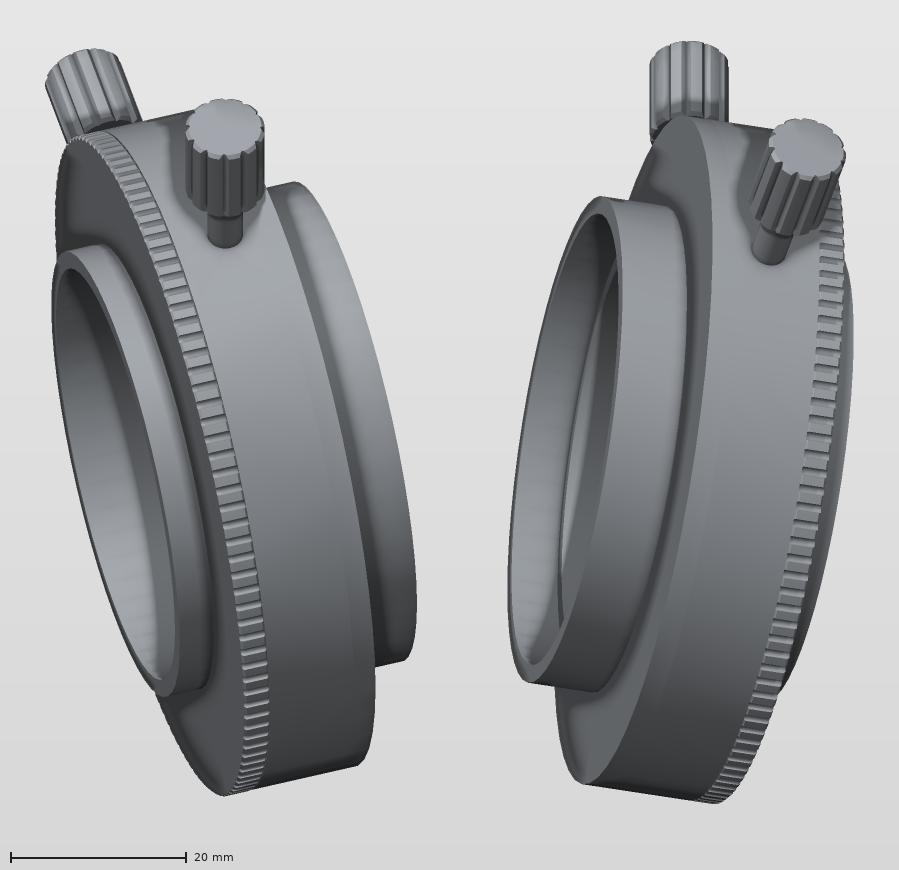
import cadquery as cq

body_diameter = 77.0
bore_diameter = 48.0
tube_diameter = 52.0
flange_diameter = 56.0
flange_recess_diameter = 52.0

spigot_length = 4.0
knurl_length = 3.0
hub_length = 2.0
housing_length = 10.0
cover_length = 2.5
flange_gap = 0.5
flange_length = 7.5
flange_recess_depth = 5.4

knurl_back = spigot_length + knurl_length
hub_back = knurl_back + hub_length
housing_back = knurl_back + housing_length
cover_back = housing_back + cover_length
flange_front = cover_back + flange_gap
flange_back = flange_front + flange_length
recess_front = flange_back - flange_recess_depth

knurl_groove_count = 120
knurl_groove_radius = 0.5
knurl_chamfer = 0.24

screw_reach = 57.8
screw_axis_depth = 13.0
stem_diameter = 4.0
head_diameter = 9.05
head_length = 11.0
head_chamfer = 0.4
head_groove_count = 12
head_groove_depth = 0.6
head_groove_phase = 12.2
screw_angles = [0, -90]


def disc(diameter, start, end):
    """Solid cylinder on the optical axis between two depths."""
    plane = cq.Workplane("XZ", origin=(0, start, 0))
    return plane.circle(diameter / 2).extrude(start - end)


def ring(outer_diameter, inner_diameter, start, end):
    """Flat ring on the optical axis between two depths."""
    return disc(outer_diameter, start, end).cut(disc(inner_diameter, start, end))


def make_thumbscrew():
    """Screw pointing up along Z: plain stem and a head with right-angled V grooves."""
    stem_bottom = tube_diameter / 2
    head_bottom = screw_reach - head_length
    head_radius = head_diameter / 2
    head = (
        cq.Workplane("XY", origin=(0, 0, head_bottom))
        .circle(head_radius)
        .extrude(head_length)
        .faces("<Z or >Z")
        .chamfer(head_chamfer)
    )
    groove = (
        cq.Workplane("XY", origin=(0, 0, head_bottom))
        .moveTo(head_radius - head_groove_depth, 0)
        .lineTo(head_radius + head_groove_depth, 2 * head_groove_depth)
        .lineTo(head_radius + head_groove_depth, -2 * head_groove_depth)
        .close()
        .extrude(head_length)
    )
    for index in range(head_groove_count):
        angle = head_groove_phase + index * 360 / head_groove_count
        head = head.cut(groove.rotate((0, 0, 0), (0, 0, 1), angle))
    stem = (
        cq.Workplane("XY", origin=(0, 0, stem_bottom))
        .circle(stem_diameter / 2)
        .extrude(head_bottom - stem_bottom)
    )
    return head.union(stem).translate((0, screw_axis_depth, 0))


def make_thumbscrews():
    """One thumbscrew for each angle around the optical axis."""
    screw = make_thumbscrew()
    return [screw.rotate((0, 0, 0), (0, 1, 0), angle) for angle in screw_angles]


def make_front_ring():
    """Spigot, knurled disc and a hub that enters the housing."""
    knurled_disc = disc(body_diameter, spigot_length, knurl_back).faces("<Y or >Y").chamfer(knurl_chamfer)
    grooves = (
        cq.Workplane("XZ", origin=(0, spigot_length, 0))
        .polarArray(body_diameter / 2, 0, 360, knurl_groove_count)
        .circle(knurl_groove_radius)
        .extrude(-knurl_length)
    )
    tube = disc(tube_diameter, 0, hub_back)
    return knurled_disc.cut(grooves).union(tube).cut(disc(bore_diameter, 0, hub_back))


def make_housing(screws):
    """Plain ring with a radial hole for each thumbscrew."""
    body = ring(body_diameter, tube_diameter, knurl_back, housing_back)
    for screw in screws:
        body = body.cut(screw)
    return body


def make_carriage():
    """Tube through the housing and cover, ending in a flange recessed from behind."""
    tube = disc(tube_diameter, hub_back, flange_back)
    flange = disc(flange_diameter, flange_front, flange_back)
    bore = disc(bore_diameter, hub_back, flange_back)
    recess = disc(flange_recess_diameter, recess_front, flange_back)
    return tube.union(flange).cut(bore).cut(recess)


thumbscrews = make_thumbscrews()
front_ring = make_front_ring()
housing = make_housing(thumbscrews)
cover = ring(body_diameter, tube_diameter, housing_back, cover_back)
carriage = make_carriage()

result = cq.Compound.makeCompound(
    [
        front_ring.val(),
        housing.val(),
        cover.val(),
        carriage.val(),
        *[screw.val() for screw in thumbscrews],
    ]
)